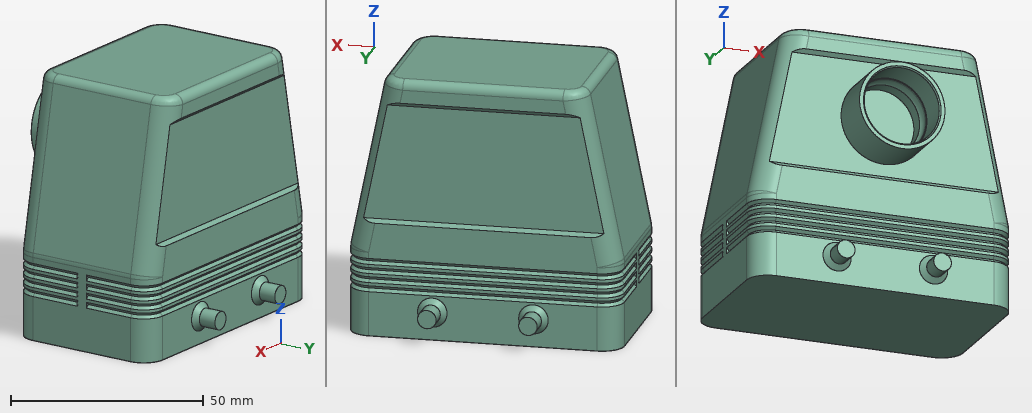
import cadquery as cq

length = 73.0
depth = 43.1
height = 70.0
skirt_height = 23.35
top_length = 54.0
bend_radius = 5.85
corner_radius = 6.0
top_edge_radius = 2.5
front_face = depth / 2

panel_recess = 1.0
panel_bottom = 31.8
panel_top = 62.9

groove_count = 4
groove_pitch = 2.5
groove_first_height = 12.85
groove_depth = 0.8
groove_gap = 2.9

boss_radius = 12.0
boss_tip = 33.5
boss_height = 47.2
rim_radius = 10.9
bore_radius = 10.5
bore_depth = 9.05
seat_radius = 10.3
seat_depth = 9.8
lip_radius = 9.6
lip_depth = 12.05
inner_bore_depth = 16.05

peg_radius = 2.5
peg_cone_height = 1.45
peg_tip = 27.95
peg_spacing = 27.0
peg_height = 7.5


def make_hood():
    """Tapered block with rounded bends, upright corners and top rim."""
    hood = (
        cq.Workplane("XZ")
        .moveTo(-length / 2, 0)
        .lineTo(length / 2, 0)
        .lineTo(length / 2, skirt_height)
        .lineTo(top_length / 2, height)
        .lineTo(-top_length / 2, height)
        .lineTo(-length / 2, skirt_height)
        .close()
        .extrude(front_face, both=True)
    )
    bend_level = cq.selectors.BoxSelector(
        (-length, -depth, skirt_height / 2), (length, depth, (skirt_height + height) / 2)
    )
    hood = hood.edges("|Y").edges(bend_level).fillet(bend_radius)
    hood = hood.edges("not(|Y or |X)").fillet(corner_radius)
    return hood.faces(">Z").edges().fillet(top_edge_radius)


def make_panel_cutter():
    """Full-length bar that cuts the panel recess into the -Y face."""
    floor = -front_face + panel_recess
    return (
        cq.Workplane("YZ")
        .moveTo(floor, panel_bottom)
        .lineTo(floor, panel_top)
        .lineTo(-front_face, panel_top + panel_recess)
        .lineTo(-front_face, panel_bottom - panel_recess)
        .close()
        .extrude(length / 2, both=True)
    )


def make_groove_cutter(center_height):
    """V-section ring swept around the skirt, leaving a plain strip on each end wall."""
    path = (
        cq.Workplane("XY", origin=(0, 0, center_height))
        .moveTo(0, -front_face)
        .lineTo(length / 2 - corner_radius, -front_face)
        .radiusArc((length / 2, -front_face + corner_radius), -corner_radius)
        .lineTo(length / 2, -groove_gap / 2)
    )
    quarter = (
        cq.Workplane("YZ", origin=(0, 0, center_height))
        .moveTo(-front_face, -groove_depth)
        .lineTo(-front_face + groove_depth, 0)
        .lineTo(-front_face, groove_depth)
        .close()
        .sweep(path)
    )
    half = quarter.union(quarter.mirror("YZ"))
    return half.union(half.mirror("XZ"))


def make_boss():
    """Solid round boss reaching from the middle of the body to its tip."""
    return (
        cq.Workplane("XZ", origin=(0, 0, boss_height))
        .circle(boss_radius)
        .extrude(boss_tip)
    )


def make_bore():
    """Stepped blind bore with a rounded lip, revolved about the boss axis."""
    rim_chamfer = rim_radius - bore_radius
    step = -boss_tip + bore_depth
    seat_end = -boss_tip + seat_depth
    lip = -boss_tip + lip_depth
    floor = -boss_tip + inner_bore_depth
    return (
        cq.Workplane("XY", origin=(0, 0, boss_height))
        .moveTo(0, -boss_tip)
        .lineTo(rim_radius, -boss_tip)
        .lineTo(bore_radius, -boss_tip + rim_chamfer)
        .lineTo(bore_radius, step)
        .lineTo(seat_radius, step)
        .lineTo(seat_radius, seat_end)
        .tangentArcPoint((lip_radius, lip), relative=False)
        .lineTo(lip_radius, floor)
        .lineTo(0, floor)
        .close()
        .revolve(360, (0, 0, 0), (0, 1, 0))
    )


def make_peg_pair(x):
    """Two coaxial pegs, one on each broad face, with conical roots."""
    cone_end = front_face + peg_cone_height
    root_radius = peg_radius + peg_cone_height
    return (
        cq.Workplane("XY", origin=(x, 0, peg_height))
        .moveTo(0, -peg_tip)
        .lineTo(peg_radius, -peg_tip)
        .lineTo(peg_radius, -cone_end)
        .lineTo(root_radius, -front_face)
        .lineTo(root_radius, front_face)
        .lineTo(peg_radius, cone_end)
        .lineTo(peg_radius, peg_tip)
        .lineTo(0, peg_tip)
        .close()
        .revolve(360, (0, 0, 0), (0, 1, 0))
    )


result = make_hood()

panel_cutter = make_panel_cutter()
result = result.cut(panel_cutter).cut(panel_cutter.mirror("XZ"))

for index in range(groove_count):
    result = result.cut(make_groove_cutter(groove_first_height + index * groove_pitch))

result = result.union(make_boss()).cut(make_bore())

for x in (-peg_spacing / 2, peg_spacing / 2):
    result = result.union(make_peg_pair(x))